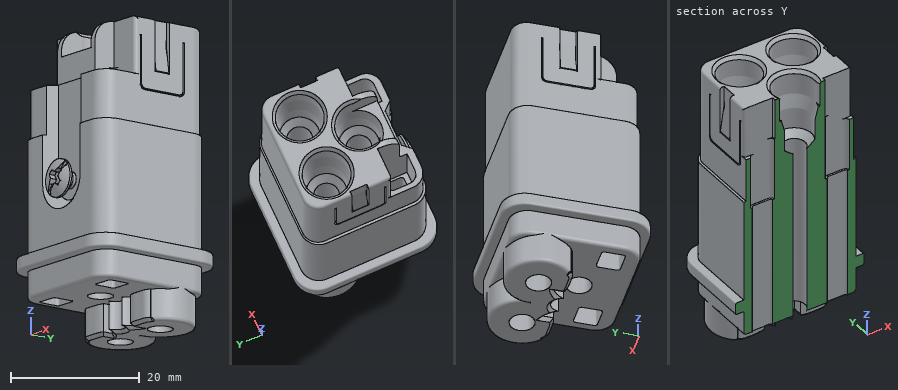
import cadquery as cq
import math

TOTAL_HEIGHT = 47.95
BODY_BOTTOM = 5.1
FLANGE_BOTTOM = 9.6
FLANGE_TOP = 11.9
SHOULDER = 30.65
RIM_TOP = 38.6

FLANGE_WIDTH = 24.0
FLANGE_CORNER = 4.0
BODY_WIDTH = 21.0
BODY_CORNER = 3.05
SHOULDER_STEP = 0.455
UPPER_WIDTH = BODY_WIDTH - 2 * SHOULDER_STEP
UPPER_CORNER = BODY_CORNER - SHOULDER_STEP
UPPER_BACK = 10.2
BOTTOM_ROUND = 0.58
FLANGE_ROUND = 0.35

BLOCK_FRONT = -3.8
BLOCK_ROUND = 0.58
LOBE_WIDTH = 9.4
LOBE_FRONT = -7.6
LOBE_ROUND = 3.65
LOBE_FOOT = 0.55

OUTER_HOLE_X = 5.05
OUTER_HOLE_Y = 5.05
CENTRE_HOLE_Y = -2.8
MOUTH_RADIUS = 4.25
MOUTH_DEPTH = 0.6
BORE_RADIUS = 3.8
OUTER_BORE_DEPTH = 3.75
CENTRE_BORE_DEPTH = 4.45
TAPER_RADIUS = 3.2
TAPER_DEPTH = 6.8
FUNNEL_START_DEPTH = 10.55
FUNNEL_END_DEPTH = 11.75
THROUGH_RADIUS = 2.0
LOBE_SLOT_WIDTH = 7.45
LOBE_SLOT_FLOOR = 43.4

WELL_OUTER_X = 9.25
WELL_FRONT = -8.8
WELL_CORNER = 1.65
WELL_FLOOR = 29.0
WELL_HOLE_SIZE = 3.85
WELL_HOLE_X = 7.0
WELL_HOLE_Y = -6.05
WELL_HOLE_CORNER = 0.5
WELL_FILLET = 0.9
WELL_FILLET_TOP = 40.4

CHANNEL_FLOOR_Y = -8.65
CHANNEL_FLOOR_WIDTH = 6.15
CHANNEL_FACE_WIDTH = 9.45
CHANNEL_END_Z = 22.7

NECK_RADIUS = 1.35
HEAD_RADIUS = 3.05
HEAD_CONE_START_Y = -9.25
HEAD_CONE_END_Y = -10.85
HEAD_RIM_Y = -11.2
HEAD_TOP_Y = -FLANGE_WIDTH / 2
CROSS_REACH = 1.5
CROSS_ARM_WIDTH = 0.85
CROSS_INNER_REACH = 0.9
CROSS_DEPTH = 1.25
DRIVER_SLOT_WIDTH = 0.75
DRIVER_SLOT_DEPTH = 0.75

LATCH_Y = 1.55
NOTCH_WIDTH = 2.85
NOTCH_DEPTH = 0.75
RAMP_TOP = 45.0
RAMP_BOTTOM = 39.5
RAMP_GAP = 0.15
GROOVE_SPAN = 8.7
GROOVE_BOTTOM = 36.25
GROOVE_WIDTH = 0.25
GROOVE_DEPTH = 0.5
GROOVE_CORNER = 0.95

TUBE_RADIUS = 5.45
TUBE_FRONT = 0.15
TUBE_FLAT_OUTER_X = 7.0
TUBE_SHOULDER_X = 8.2
TUBE_SHOULDER_RADIUS = 1.7
TUBE_INNER_X = 3.35
TUBE_INNER_RADIUS = 4.9
WEB_VALLEY_Y = 2.15
WEB_FLANK_X = 2.25
WEB_FLANK_Y = 1.25
WEB_GROOVE_RADIUS = 1.6


def box(x_min, x_max, y_min, y_max, z_min, z_max):
    return cq.Workplane("XY").box(
        x_max - x_min, y_max - y_min, z_max - z_min, centered=False
    ).translate((x_min, y_min, z_min))


def both_sides(shape):
    return shape.union(shape.mirror("YZ"))


def make_body():
    body = (
        box(-BODY_WIDTH / 2, BODY_WIDTH / 2, -BODY_WIDTH / 2, BODY_WIDTH / 2, BODY_BOTTOM, SHOULDER)
        .edges("|Z").fillet(BODY_CORNER)
        .faces("<Z").edges().fillet(BOTTOM_ROUND)
    )
    flange = (
        box(-FLANGE_WIDTH / 2, FLANGE_WIDTH / 2, -FLANGE_WIDTH / 2, FLANGE_WIDTH / 2,
            FLANGE_BOTTOM, FLANGE_TOP)
        .edges("|Z").fillet(FLANGE_CORNER)
        .faces("<Z or >Z").edges().fillet(FLANGE_ROUND)
    )
    half = UPPER_WIDTH / 2
    upper = box(-half, half, -half, UPPER_BACK, SHOULDER, RIM_TOP).edges("|Z").fillet(UPPER_CORNER)
    return body.union(flange).union(upper)


def make_block():
    """Contact block with a rounded top on three sides and a sharp top edge in front."""
    half = UPPER_WIDTH / 2
    rounded_top = (
        box(-half, half, BLOCK_FRONT - half, UPPER_BACK, SHOULDER, TOTAL_HEIGHT)
        .edges("|Z and >Y").fillet(UPPER_CORNER)
        .faces(">Z").edges().fillet(BLOCK_ROUND)
    )
    rounded_front = (
        box(-half, half, BLOCK_FRONT, UPPER_BACK, SHOULDER, TOTAL_HEIGHT)
        .edges("|Z and <Y").fillet(BLOCK_ROUND)
    )
    return rounded_top.intersect(rounded_front)


def make_lobe():
    """Rounded-top lobe on the block's front, with a small concave foot on the rim."""
    diagonal = math.sqrt(0.5)
    round_y = LOBE_FRONT + LOBE_ROUND
    round_z = TOTAL_HEIGHT - LOBE_ROUND
    foot_y = LOBE_FRONT - LOBE_FOOT
    foot_z = RIM_TOP + LOBE_FOOT
    return (
        cq.Workplane("YZ")
        .moveTo(0, SHOULDER)
        .lineTo(0, TOTAL_HEIGHT)
        .lineTo(round_y, TOTAL_HEIGHT)
        .threePointArc((round_y - LOBE_ROUND * diagonal, round_z + LOBE_ROUND * diagonal),
                       (LOBE_FRONT, round_z))
        .lineTo(LOBE_FRONT, foot_z)
        .threePointArc((foot_y + LOBE_FOOT * diagonal, foot_z - LOBE_FOOT * diagonal),
                       (foot_y, RIM_TOP))
        .lineTo(foot_y, SHOULDER)
        .close()
        .extrude(LOBE_WIDTH / 2, both=True)
    )


def tube_front_y(offset, radius):
    """Y of an arc that is tangent to the tubes' front flat, at a sideways offset from the tangent point."""
    return TUBE_FRONT + radius - math.sqrt(radius ** 2 - offset ** 2)


def make_tubes():
    """Two overlapping rear tubes, flattened in front and joined by a grooved web."""
    height = BODY_BOTTOM + BOTTOM_ROUND
    tube = (
        cq.Workplane("XY")
        .center(OUTER_HOLE_X, OUTER_HOLE_Y)
        .circle(TUBE_RADIUS)
        .extrude(height)
        .faces("<Z").edges().fillet(BOTTOM_ROUND)
    )
    web = box(-TUBE_INNER_X, TUBE_INNER_X, TUBE_FRONT, OUTER_HOLE_Y, 0, height)
    side = FLANGE_WIDTH / 2
    inner_span = OUTER_HOLE_X - TUBE_INNER_X
    shoulder_span = TUBE_SHOULDER_X - TUBE_FLAT_OUTER_X
    shoulder_y = tube_front_y(shoulder_span, TUBE_SHOULDER_RADIUS)
    groove_side = WEB_GROOVE_RADIUS * math.sqrt(0.5)
    front_limit = (
        cq.Workplane("XY")
        .moveTo(0, TUBE_FRONT + WEB_GROOVE_RADIUS)
        .threePointArc((groove_side, TUBE_FRONT + groove_side), (WEB_GROOVE_RADIUS, TUBE_FRONT))
        .threePointArc((WEB_FLANK_X, WEB_FLANK_Y), (TUBE_INNER_X, WEB_VALLEY_Y))
        .lineTo(TUBE_INNER_X, tube_front_y(inner_span, TUBE_INNER_RADIUS))
        .threePointArc(
            (OUTER_HOLE_X - inner_span / 2, tube_front_y(inner_span / 2, TUBE_INNER_RADIUS)),
            (OUTER_HOLE_X, TUBE_FRONT),
        )
        .lineTo(TUBE_FLAT_OUTER_X, TUBE_FRONT)
        .threePointArc(
            (TUBE_FLAT_OUTER_X + shoulder_span / 2, tube_front_y(shoulder_span / 2, TUBE_SHOULDER_RADIUS)),
            (TUBE_SHOULDER_X, shoulder_y),
        )
        .lineTo(side, shoulder_y)
        .lineTo(side, side)
        .lineTo(0, side)
        .mirrorY()
        .extrude(height)
        .faces("<Z").edges().chamfer(BOTTOM_ROUND)
    )
    return both_sides(tube).union(web).intersect(front_limit)


def make_contact_hole(x, y, bore_depth):
    """Stepped, tapering hole through the whole height."""
    return (
        cq.Workplane("XZ")
        .polyline([
            (0, TOTAL_HEIGHT),
            (MOUTH_RADIUS, TOTAL_HEIGHT),
            (BORE_RADIUS, TOTAL_HEIGHT - MOUTH_DEPTH),
            (BORE_RADIUS, TOTAL_HEIGHT - bore_depth),
            (TAPER_RADIUS, TOTAL_HEIGHT - TAPER_DEPTH),
            (TAPER_RADIUS, TOTAL_HEIGHT - FUNNEL_START_DEPTH),
            (THROUGH_RADIUS, TOTAL_HEIGHT - FUNNEL_END_DEPTH),
            (THROUGH_RADIUS, 0),
            (0, 0),
        ])
        .close()
        .revolve(360, (0, 0), (0, 1))
        .translate((x, y, 0))
    )


def make_well():
    """Open wells beside the lobe, each with a square hole through its floor."""
    inner_x = LOBE_WIDTH / 2
    well = (
        box(inner_x, WELL_OUTER_X, WELL_FRONT, BLOCK_FRONT, WELL_FLOOR, RIM_TOP)
        .edges("|Z and >X and <Y").fillet(WELL_CORNER)
        .edges("|Z and >X and >Y").fillet(WELL_FILLET)
    )
    half = WELL_HOLE_SIZE / 2
    through = box(
        WELL_HOLE_X - half, WELL_HOLE_X + half, WELL_HOLE_Y - half, WELL_HOLE_Y + half,
        BODY_BOTTOM, RIM_TOP
    ).edges("|Z").fillet(WELL_HOLE_CORNER)
    return both_sides(well.union(through))


def make_well_fillet():
    """Concave columns in the corners between the block and the lobe."""
    corner_x = LOBE_WIDTH / 2
    centre_x = corner_x + WELL_FILLET
    centre_y = BLOCK_FRONT - WELL_FILLET
    column = (
        box(corner_x, centre_x, centre_y, BLOCK_FRONT, WELL_FLOOR, WELL_FILLET_TOP)
        .cut(
            cq.Workplane("XY").workplane(offset=WELL_FLOOR)
            .center(centre_x, centre_y).circle(WELL_FILLET)
            .extrude(WELL_FILLET_TOP - WELL_FLOOR)
        )
    )
    return both_sides(column)


def make_screw_channel():
    """Channel with flared sides, open at the rim and ending in a conical half round."""
    face_y = -BODY_WIDTH / 2
    floor_half = CHANNEL_FLOOR_WIDTH / 2
    face_half = CHANNEL_FACE_WIDTH / 2
    straight = (
        cq.Workplane("XY").workplane(offset=CHANNEL_END_Z)
        .polyline([
            (-floor_half, CHANNEL_FLOOR_Y),
            (floor_half, CHANNEL_FLOOR_Y),
            (face_half, face_y),
            (-face_half, face_y),
        ])
        .close()
        .extrude(RIM_TOP - CHANNEL_END_Z)
    )
    round_end = (
        cq.Workplane("XY")
        .polyline([(0, CHANNEL_FLOOR_Y), (floor_half, CHANNEL_FLOOR_Y), (face_half, face_y), (0, face_y)])
        .close()
        .revolve(360, (0, 0), (0, 1))
        .translate((0, 0, CHANNEL_END_Z))
    )
    return straight.union(round_end)


def make_driver_recess():
    """Cross recess and a shallow straight slot, both turned 45 degrees."""
    half_arm = CROSS_ARM_WIDTH / 2
    points = []
    for quarter in range(4):
        turn = math.radians(90 * quarter)
        notch = turn + math.radians(45)
        for along, across in ((CROSS_REACH, -half_arm), (CROSS_REACH, half_arm)):
            points.append((
                along * math.cos(turn) - across * math.sin(turn),
                along * math.sin(turn) + across * math.cos(turn),
            ))
        points.append((CROSS_INNER_REACH * math.cos(notch), CROSS_INNER_REACH * math.sin(notch)))
    front = cq.Workplane("XZ", origin=(0, HEAD_TOP_Y, 0))
    cross = front.polyline(points).close().extrude(-CROSS_DEPTH)
    slot = front.rect(2 * HEAD_RADIUS, DRIVER_SLOT_WIDTH).extrude(-DRIVER_SLOT_DEPTH)
    return cross.union(slot).rotate((0, 0, 0), (0, 1, 0), -45)


def make_screw():
    dome_height = HEAD_RIM_Y - HEAD_TOP_Y
    dome_radius = (HEAD_RADIUS ** 2 + dome_height ** 2) / (2 * dome_height)
    half_angle = math.asin(HEAD_RADIUS / dome_radius) / 2
    dome_middle = (
        dome_radius * math.sin(half_angle),
        HEAD_TOP_Y + dome_radius * (1 - math.cos(half_angle)),
    )
    head = (
        cq.Workplane("XY")
        .moveTo(0, CHANNEL_FLOOR_Y)
        .lineTo(NECK_RADIUS, CHANNEL_FLOOR_Y)
        .lineTo(NECK_RADIUS, HEAD_CONE_START_Y)
        .lineTo(HEAD_RADIUS, HEAD_CONE_END_Y)
        .lineTo(HEAD_RADIUS, HEAD_RIM_Y)
        .threePointArc(dome_middle, (0, HEAD_TOP_Y))
        .close()
        .revolve(360, (0, 0), (0, 1))
    )
    return head.cut(make_driver_recess()).translate((0, 0, CHANNEL_END_Z))


def make_latch_notches():
    """Upright notch at the top of each side, around a ramp that rises from its floor to the face."""
    face_x = UPPER_WIDTH / 2
    floor_x = face_x - NOTCH_DEPTH
    notch = box(
        floor_x, face_x, LATCH_Y - NOTCH_WIDTH / 2, LATCH_Y + NOTCH_WIDTH / 2,
        RAMP_BOTTOM, TOTAL_HEIGHT
    )
    ramp_bottom = RAMP_BOTTOM + RAMP_GAP
    ramp = (
        cq.Workplane("XZ", origin=(0, LATCH_Y, 0))
        .polyline([(floor_x, RAMP_TOP), (floor_x, ramp_bottom), (face_x, ramp_bottom)])
        .close()
        .extrude(NOTCH_WIDTH / 2 - RAMP_GAP, both=True)
    )
    return both_sides(notch.cut(ramp))


def make_latch_grooves():
    """Thin U-shaped groove around each notch."""
    face_x = UPPER_WIDTH / 2

    def u_block(inset, corner):
        return box(
            face_x - GROOVE_DEPTH, face_x,
            LATCH_Y - GROOVE_SPAN / 2 + inset, LATCH_Y + GROOVE_SPAN / 2 - inset,
            GROOVE_BOTTOM + inset, RAMP_TOP
        ).edges("|X and <Z").fillet(corner)

    groove = u_block(0, GROOVE_CORNER).cut(u_block(GROOVE_WIDTH, GROOVE_CORNER - GROOVE_WIDTH))
    return both_sides(groove)


housing = make_body().union(make_block()).union(make_lobe()).union(make_tubes())
housing = housing.cut(make_well()).union(make_well_fillet())
for hole_x, hole_y, hole_bore_depth in (
    (-OUTER_HOLE_X, OUTER_HOLE_Y, OUTER_BORE_DEPTH),
    (OUTER_HOLE_X, OUTER_HOLE_Y, OUTER_BORE_DEPTH),
    (0, CENTRE_HOLE_Y, CENTRE_BORE_DEPTH),
):
    housing = housing.cut(make_contact_hole(hole_x, hole_y, hole_bore_depth))
lobe_slot = box(
    -LOBE_SLOT_WIDTH / 2, LOBE_SLOT_WIDTH / 2, LOBE_FRONT, CENTRE_HOLE_Y,
    LOBE_SLOT_FLOOR, TOTAL_HEIGHT
)
housing = housing.cut(lobe_slot).cut(make_screw_channel())
housing = housing.cut(make_latch_notches()).cut(make_latch_grooves())
result = housing.union(make_screw())